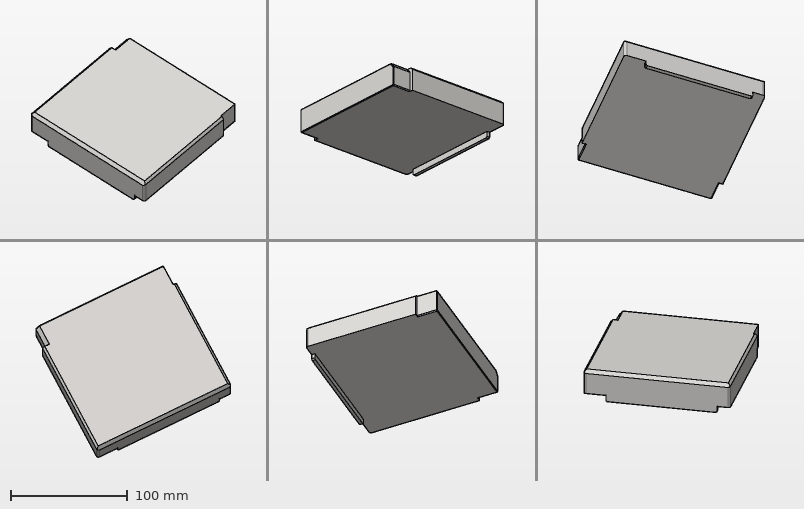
import cadquery as cq

length = 129.0
depth = 123.0
total_height = 28.0
tab_drop = 5.8
body_height = total_height - tab_drop
corner_radius = 2.0

front_bevel_run = 2.8
front_bevel_fall = 3.1
side_bevel_run = 2.2
side_bevel_fall = 2.2

rear_length = 19.0
rear_left_inset = 3.0
rear_right_inset = 3.2
rear_bevel_run = 3.6
rear_bevel_fall = 4.1
rear_bottom_chamfer = 0.9
rear_end_chamfer = 0.6

tab_left_inset = 19.6
tab_right_inset = 11.5
tab_thickness = 3.1
tab_corner_chamfer = 1.2

rear_start = depth - rear_length


def profile_along_y(points, start, end):
    """Extrude an XZ outline from Y = start to Y = end."""
    return cq.Workplane("XZ", origin=(0, start, 0)).polyline(points).close().extrude(start - end)


def make_main_body():
    """Wide front part, beveled on its front and side top edges."""
    body = profile_along_y(
        [
            (0, 0),
            (length, 0),
            (length, body_height - side_bevel_fall),
            (length - side_bevel_run, body_height),
            (side_bevel_run, body_height),
            (0, body_height - side_bevel_fall),
        ],
        0,
        rear_start,
    )
    front_bevel = (
        cq.Workplane("YZ")
        .polyline([
            (0, body_height - front_bevel_fall),
            (front_bevel_run, body_height),
            (0, body_height),
        ])
        .close()
        .extrude(length)
    )
    rounded_outline = (
        cq.Workplane("XY")
        .box(length, rear_start, body_height, centered=False)
        .edges("|Z and <Y")
        .fillet(corner_radius)
    )
    return body.cut(front_bevel).intersect(rounded_outline)


def make_rear_end():
    """Narrow rear part, beveled on the left and chamfered around its end face."""
    left = rear_left_inset
    right = length - rear_right_inset
    rear = profile_along_y(
        [
            (left + rear_bottom_chamfer, 0),
            (right - rear_bottom_chamfer, 0),
            (right, rear_bottom_chamfer),
            (right, body_height),
            (left + rear_bevel_run, body_height),
            (left, body_height - rear_bevel_fall),
            (left, rear_bottom_chamfer),
        ],
        rear_start,
        depth,
    )
    return rear.faces(">Y").edges().chamfer(rear_end_chamfer)


def make_tab():
    """Front tab with its two lower corners cut off."""
    left = tab_left_inset
    right = length - tab_right_inset
    return profile_along_y(
        [
            (left, 0),
            (left, tab_corner_chamfer - tab_drop),
            (left + tab_corner_chamfer, -tab_drop),
            (right - tab_corner_chamfer, -tab_drop),
            (right, tab_corner_chamfer - tab_drop),
            (right, 0),
        ],
        0,
        tab_thickness,
    )


result = make_main_body().union(make_rear_end()).union(make_tab())